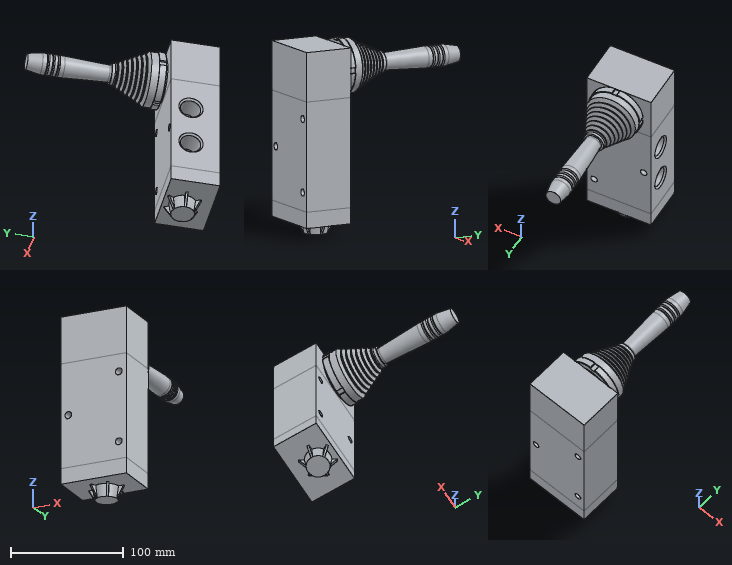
import cadquery as cq
import math


OVERALL_HEIGHT = 174.9

BLOCK_WIDTH = 65.0
BLOCK_DEPTH = 45.0
BASE_HEIGHT = 14.9
VALVE_HEIGHT = 100.0
HEAD_HEIGHT = 45.0
BLOCK_CENTRE_Y = -BLOCK_DEPTH / 2
VALVE_CENTRE_Z = BASE_HEIGHT + VALVE_HEIGHT / 2

MOUNT_HOLE_DIAMETER = 6.5
MOUNT_HOLE_X = 25.0
MOUNT_HOLE_RISE = 33.4

PORT_CENTRE_Y = -18.2
PORT_DIAMETER = 18.5
PORT_MOUTH_DIAMETER = 22.0
PORT_MOUTH_DEPTH = 1.7
PORT_DEPTH = 21.0
PORT_SPACING = 39.9

LEVER_AXIS_Z = BASE_HEIGHT + VALVE_HEIGHT + HEAD_HEIGHT / 2
NECK_DIAMETER = 40.0
NECK_LENGTH = 2.1
COLLAR_DIAMETER = 52.0
COLLAR_CHAMFER = 0.5
COLLAR_END = 8.7
COLLAR_SLOT_WIDTH = 5.0
COLLAR_SLOT_FLOOR_DIAMETER = 48.0
COLLAR_SLOT_COUNT = 4
COLLAR_TOP_RISE = math.sqrt((COLLAR_DIAMETER / 2) ** 2 - (COLLAR_SLOT_WIDTH / 2) ** 2)

BELLOWS_DIAMETER = 50.0
BELLOWS_RIM_END = 16.0
BELLOWS_TOP_DIAMETER = 20.0
BELLOWS_TOP_START = 45.5
BELLOWS_END = 48.3
FOLD_COUNT = 7
FOLD_PITCH = 4.0
FOLD_CREST_WIDTH = 0.9
FIRST_CREST_POSITION = 20.0
FIRST_CREST_DIAMETER = 45.1
FIRST_VALLEY_DIAMETER = 42.7
FOLD_DIAMETER_STEP = 3.8

SHANK_DIAMETER = 16.0
SHANK_END = 50.0
GRIP_DIAMETER = 20.0
GRIP_START = 91.6
GRIP_END = 111.7
TIP_DIAMETER = 15.0
LEVER_LENGTH = 125.0
GRIP_GROOVE_WIDTH = 2.1
GRIP_GROOVE_DEPTH = 1.0
GRIP_GROOVE_COUNT = 3
GRIP_GROOVE_PITCH = 4.9
FIRST_GRIP_GROOVE = 96.9

KNOB_HEIGHT = OVERALL_HEIGHT - LEVER_AXIS_Z - COLLAR_TOP_RISE
KNOB_TIP_RADIUS = 10.7
KNOB_CORE_RADIUS = 12.5
KNOB_RIB_RADIUS = 17.3
KNOB_RIB_WIDTH = 2.1
KNOB_RIB_COUNT = 6


def block_section(bottom, height):
    """One rectangular section of the valve block."""
    return (
        cq.Workplane("XY", origin=(0, BLOCK_CENTRE_Y, bottom))
        .box(BLOCK_WIDTH, BLOCK_DEPTH, height, centered=(True, True, False))
    )


def mounting_holes():
    """Cutters for the three mounting holes: two on the +X edge, one on the -X edge."""
    centres = [
        (MOUNT_HOLE_X, VALVE_CENTRE_Z + MOUNT_HOLE_RISE),
        (MOUNT_HOLE_X, VALVE_CENTRE_Z - MOUNT_HOLE_RISE),
        (-MOUNT_HOLE_X, VALVE_CENTRE_Z),
    ]
    return cq.Workplane("XZ").pushPoints(centres).circle(MOUNT_HOLE_DIAMETER / 2).extrude(BLOCK_DEPTH)


def port(centre_z):
    """Cutter for one blind port with a countersunk mouth."""
    bore_radius = PORT_DIAMETER / 2
    outline = [
        (0, 0),
        (0, PORT_MOUTH_DIAMETER / 2),
        (PORT_MOUTH_DEPTH, bore_radius),
        (PORT_DEPTH, bore_radius),
        (PORT_DEPTH, 0),
    ]
    cutter = cq.Workplane("XY").polyline(outline).close().revolve(360, (0, 0, 0), (1, 0, 0))
    return cutter.translate((-BLOCK_WIDTH / 2, PORT_CENTRE_Y, centre_z))


def knob_rib(angle):
    """One tapered rib, from the knob axis outwards."""
    outline = [
        (0, 0),
        (KNOB_RIB_RADIUS, 0),
        (KNOB_TIP_RADIUS, -KNOB_HEIGHT),
        (0, -KNOB_HEIGHT),
    ]
    rib = cq.Workplane("XZ").polyline(outline).close().extrude(KNOB_RIB_WIDTH / 2, both=True)
    return rib.rotate((0, 0, 0), (0, 0, 1), angle)


def fluted_knob():
    """Conical core with radial ribs, hanging from the bottom of the block."""
    core_outline = [
        (0, 0),
        (KNOB_CORE_RADIUS, 0),
        (KNOB_TIP_RADIUS, -KNOB_HEIGHT),
        (0, -KNOB_HEIGHT),
    ]
    knob = cq.Workplane("XZ").polyline(core_outline).close().revolve(360, (0, 0, 0), (0, 1, 0))
    for i in range(KNOB_RIB_COUNT):
        knob = knob.union(knob_rib(i * 360 / KNOB_RIB_COUNT))
    return knob.translate((0, PORT_CENTRE_Y, 0))


def make_valve_body():
    """Valve block and knob as one solid; the faces stay divided where the sections meet."""
    body = block_section(0, BASE_HEIGHT)
    body = body.union(block_section(BASE_HEIGHT, VALVE_HEIGHT), clean=False)
    body = body.union(block_section(BASE_HEIGHT + VALVE_HEIGHT, HEAD_HEIGHT), clean=False)
    body = body.union(fluted_knob(), clean=False)
    body = body.cut(mounting_holes(), clean=False)
    for side in (-1, 1):
        body = body.cut(port(VALVE_CENTRE_Z + side * PORT_SPACING / 2), clean=False)
    return body


def bellows_folds():
    """Profile points of the folds, each a narrow crest with a valley on its block side."""
    points = []
    for i in range(FOLD_COUNT):
        crest_position = FIRST_CREST_POSITION + i * FOLD_PITCH
        crest_radius = (FIRST_CREST_DIAMETER - i * FOLD_DIAMETER_STEP) / 2
        valley_radius = (FIRST_VALLEY_DIAMETER - i * FOLD_DIAMETER_STEP) / 2
        points.append((valley_radius, crest_position - FOLD_PITCH / 2 + FOLD_CREST_WIDTH / 2))
        points.append((crest_radius, crest_position - FOLD_CREST_WIDTH / 2))
        points.append((crest_radius, crest_position + FOLD_CREST_WIDTH / 2))
    return points


def lever_blank():
    """Neck, collar, bellows and handle as one turned shape about the Y axis."""
    neck_radius = NECK_DIAMETER / 2
    collar_radius = COLLAR_DIAMETER / 2
    bellows_radius = BELLOWS_DIAMETER / 2
    bellows_top_radius = BELLOWS_TOP_DIAMETER / 2
    shank_radius = SHANK_DIAMETER / 2
    grip_radius = GRIP_DIAMETER / 2
    profile = (
        cq.Workplane("XY")
        .lineTo(neck_radius, 0)
        .lineTo(neck_radius, NECK_LENGTH)
        .lineTo(collar_radius - COLLAR_CHAMFER, NECK_LENGTH)
        .lineTo(collar_radius, NECK_LENGTH + COLLAR_CHAMFER)
        .lineTo(collar_radius, COLLAR_END)
        .lineTo(bellows_radius, COLLAR_END)
        .lineTo(bellows_radius, BELLOWS_RIM_END)
    )
    for radius, position in bellows_folds():
        profile = profile.lineTo(radius, position)
    profile = (
        profile.lineTo(bellows_top_radius, BELLOWS_TOP_START)
        .lineTo(bellows_top_radius, BELLOWS_END)
        .lineTo(shank_radius, BELLOWS_END)
        .lineTo(shank_radius, SHANK_END)
        .lineTo(grip_radius, GRIP_START)
    )
    for i in range(GRIP_GROOVE_COUNT):
        centre = FIRST_GRIP_GROOVE + i * GRIP_GROOVE_PITCH
        profile = (
            profile.lineTo(grip_radius, centre - GRIP_GROOVE_WIDTH / 2)
            .lineTo(grip_radius - GRIP_GROOVE_DEPTH, centre)
            .lineTo(grip_radius, centre + GRIP_GROOVE_WIDTH / 2)
        )
    profile = (
        profile.lineTo(grip_radius, GRIP_END)
        .lineTo(TIP_DIAMETER / 2, LEVER_LENGTH)
        .lineTo(0, LEVER_LENGTH)
        .close()
    )
    return profile.revolve(360, (0, 0, 0), (0, 1, 0))


def collar_slot(angle):
    """Cutter for one spanner slot across the rim of the collar."""
    slot_floor = COLLAR_SLOT_FLOOR_DIAMETER / 2
    slot = (
        cq.Workplane("XY", origin=(0, NECK_LENGTH, slot_floor))
        .box(COLLAR_SLOT_WIDTH, COLLAR_END - NECK_LENGTH, COLLAR_DIAMETER, centered=(True, False, False))
    )
    return slot.rotate((0, 0, 0), (0, 1, 0), angle)


def make_lever():
    """The turned lever with its slotted collar, in place on the block."""
    lever = lever_blank()
    for i in range(COLLAR_SLOT_COUNT):
        lever = lever.cut(collar_slot(i * 360 / COLLAR_SLOT_COUNT))
    return lever.translate((0, 0, LEVER_AXIS_Z))


valve_body = make_valve_body()
lever = make_lever()

result = cq.Compound.makeCompound([valve_body.solids().val(), lever.solids().val()])